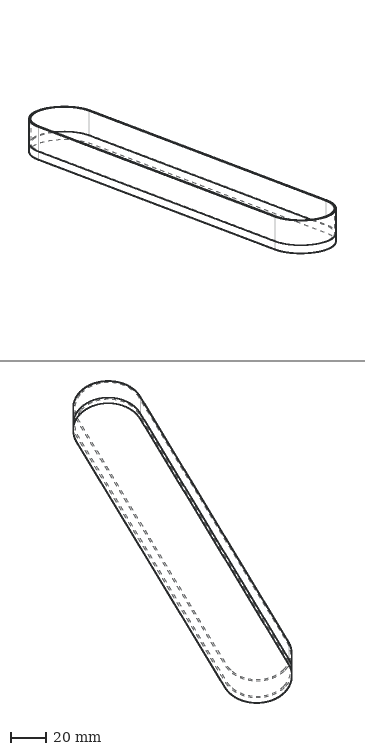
import cadquery as cq

length = 240.0
width = 40.0
height = 20.0

base_height = 5.0
wall = 1.0


def base_plate():
    """Solid slot-shaped plate that forms the floor."""
    return cq.Workplane("XY").slot2D(length, width).extrude(base_height)


def rim_wall():
    """Thin slot-shaped ring standing on the edge of the base plate."""
    return (
        cq.Workplane("XY")
        .workplane(offset=base_height)
        .slot2D(length, width)
        .slot2D(length - 2 * wall, width - 2 * wall)
        .extrude(height - base_height)
    )


base = base_plate()
rim = rim_wall()

result = cq.Compound.makeCompound([base.val(), rim.val()])